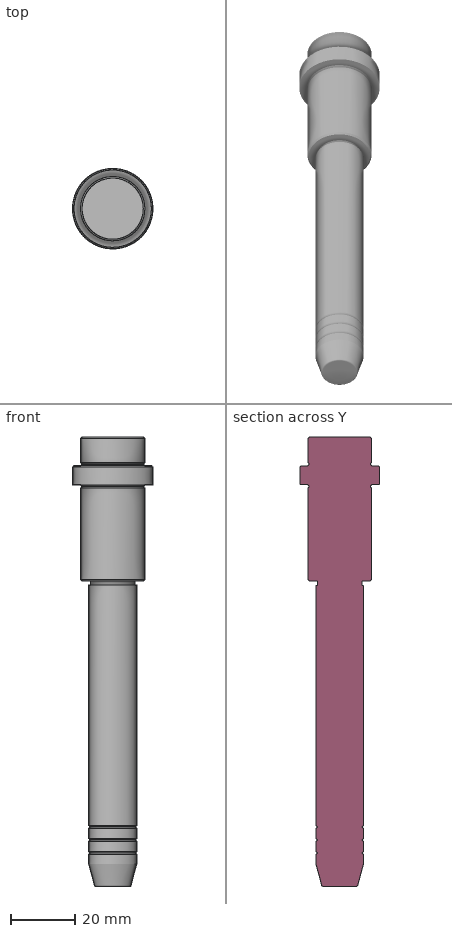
import cadquery as cq

length = 140.0
head_height = 9.0
flange_height = 6.0
body_height = 30.0
neck_height = 1.3
tip_height = 7.0

flange_diameter = 25.0
body_diameter = 20.0
shank_diameter = 15.0
neck_diameter = 14.0
tip_middle_diameter = 13.0
tip_diameter = 11.2

edge_chamfer = 0.49
tip_fillet = 0.4
relief_width = 1.0
relief_depth = 0.4

ring_count = 3
ring_pitch = 4.0
ring_width = 1.0
ring_depth = 0.4
first_ring_bottom = 10.0

flange_radius = flange_diameter / 2
body_radius = body_diameter / 2
shank_radius = shank_diameter / 2
neck_radius = neck_diameter / 2
tip_middle_radius = tip_middle_diameter / 2
tip_radius = tip_diameter / 2

flange_top = length - head_height
flange_bottom = flange_top - flange_height
body_bottom = flange_bottom - body_height
neck_bottom = body_bottom - neck_height


def cylinder(radius, bottom, top):
    """Solid cylinder on the Z axis between two levels."""
    return cq.Workplane("XY").workplane(offset=bottom).circle(radius).extrude(top - bottom)


def groove(radius, depth, bottom, width):
    """Ring that cuts a groove with 45-degree sides and a flat floor into a cylinder."""
    return (
        cq.Workplane("XZ")
        .moveTo(radius, bottom)
        .lineTo(radius - depth, bottom + depth)
        .lineTo(radius - depth, bottom + width - depth)
        .lineTo(radius, bottom + width)
        .close()
        .revolve(360, (0, 0, 0), (0, 1, 0))
    )


def shank():
    """Shank with a narrower neck at the top and a slightly hollow, rounded-off tip."""
    turned = (
        cq.Workplane("XZ")
        .moveTo(0, body_bottom)
        .lineTo(neck_radius, body_bottom)
        .lineTo(neck_radius, neck_bottom)
        .lineTo(shank_radius, neck_bottom)
        .lineTo(shank_radius, tip_height)
        .threePointArc((tip_middle_radius, tip_height / 2), (tip_radius, 0))
        .lineTo(0, 0)
        .close()
        .revolve(360, (0, 0, 0), (0, 1, 0))
        .faces("<Z")
        .edges()
        .fillet(tip_fillet)
    )
    for index in range(ring_count):
        ring_bottom = first_ring_bottom + index * ring_pitch
        turned = turned.cut(groove(shank_radius, ring_depth, ring_bottom, ring_width))
    return turned


def body():
    """Guide body with a chamfered lower edge and a relief under the flange."""
    plain = cylinder(body_radius, body_bottom, flange_bottom).faces("<Z").edges().chamfer(edge_chamfer)
    return plain.cut(groove(body_radius, relief_depth, flange_bottom - relief_width, relief_width))


def flange():
    """Collar with a chamfered upper edge."""
    return cylinder(flange_radius, flange_bottom, flange_top).faces(">Z").edges().chamfer(edge_chamfer)


def head():
    """Head with a chamfered upper edge and a relief above the flange."""
    plain = cylinder(body_radius, flange_top, length).faces(">Z").edges().chamfer(edge_chamfer)
    return plain.cut(groove(body_radius, relief_depth, flange_top, relief_width))


result = shank().union(body()).union(flange()).union(head())